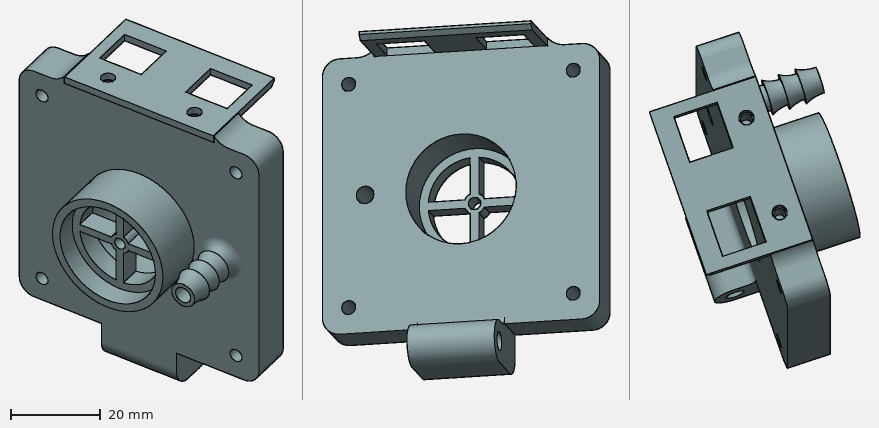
import cadquery as cq
import math


total_height = 75.4

plate_size = 63.5
plate_depth = 10.0
corner_radius = 4.0
corner_hole_diameter = 3.2
corner_hole_pitch = 51.4

cover_width = 39.4
cover_thickness = 1.8
cover_overhang = 15.0
cover_edge_chamfer = 1.1
seat_clearance = 0.19
seat_flank_radius = 5.0
window_width = 11.0
window_depth = 10.2
window_offset = 11.4
screw_offset = 11.5
screw_clearance_diameter = 3.3
screw_pilot_diameter = 2.65
screw_pilot_depth = 6.0

lug_width = 20.0
lug_height = total_height - plate_size - cover_thickness
lug_radius = 4.8
lug_round_centre_y = 15.0
lug_root_fillet = 1.95
lug_hole_diameter = 4.2

port_diameter = 29.3
port_length = 12.8
port_bore_diameter = 25.3
web_recess = 5.0
web_thickness = 5.05
web_opening_diameter = 21.3
spoke_width = 1.95
hub_diameter = 4.9
hub_hole_diameter = 2.8

nozzle_x = 21.95
nozzle_length = 15.85
nozzle_diameter = 6.0
nozzle_bore_diameter = 4.0
nozzle_root_fillet = 2.6
barb_count = 3
barb_diameter = 8.15
barb_mid_diameter = 6.5
barb_start = 3.5
barb_pitch = 3.9

half_plate = plate_size / 2
cover_top = half_plate + cover_thickness
lug_bottom = -half_plate - lug_height
seat_half_width = cover_width / 2 + seat_clearance
cover_depth = plate_depth + cover_overhang
screw_y = plate_depth / 2


def rod(diameter, front_y, rear_y, x=0, z=0):
    """A cylinder along Y between two Y positions."""
    return (
        cq.Workplane("XZ", origin=(x, front_y, z))
        .circle(diameter / 2)
        .extrude(front_y - rear_y)
    )


def plate():
    """Square plate with rounded corners."""
    return (
        cq.Workplane("XZ")
        .rect(plate_size, plate_size)
        .extrude(-plate_depth)
        .edges("|Y")
        .fillet(corner_radius)
    )


def seat_flanks():
    """Two ears that rise in a concave arc from the plate top to the sides of the cover seat."""
    drop = seat_flank_radius - cover_thickness
    run = math.sqrt(seat_flank_radius**2 - drop**2)
    half_angle = math.acos(drop / seat_flank_radius) / 2
    toe_x = seat_half_width + run
    arc_mid = (
        toe_x - seat_flank_radius * math.sin(half_angle),
        half_plate + seat_flank_radius * (1 - math.cos(half_angle)),
    )
    right_ear = (
        cq.Workplane("XZ")
        .moveTo(toe_x, half_plate)
        .threePointArc(arc_mid, (seat_half_width, cover_top))
        .lineTo(seat_half_width, half_plate)
        .close()
        .extrude(-plate_depth)
    )
    return right_ear.union(right_ear.mirror("YZ"))


def hinge_lug():
    """Lug that hangs below the plate and reaches behind it, with a cross hole."""
    lug_top = lug_bottom + 2 * lug_radius
    axis_z = lug_bottom + lug_radius
    diagonal = math.sqrt(0.5)
    fillet_mid = lug_root_fillet * (1 - diagonal)
    return (
        cq.Workplane("YZ")
        .moveTo(0, -half_plate)
        .lineTo(0, axis_z)
        .threePointArc(
            (lug_radius * (1 - diagonal), axis_z - lug_radius * diagonal),
            (lug_radius, lug_bottom),
        )
        .lineTo(lug_round_centre_y, lug_bottom)
        .threePointArc((lug_round_centre_y + lug_radius, axis_z), (lug_round_centre_y, lug_top))
        .lineTo(plate_depth + lug_root_fillet, lug_top)
        .threePointArc(
            (plate_depth + fillet_mid, lug_top + fillet_mid),
            (plate_depth, lug_top + lug_root_fillet),
        )
        .lineTo(0, lug_top + lug_root_fillet)
        .close()
        .moveTo(lug_round_centre_y, axis_z)
        .circle(lug_hole_diameter / 2)
        .extrude(lug_width / 2, both=True)
    )


def spoked_web():
    """Ring, hub and four spokes that fill the middle of the port bore."""
    web_front = web_recess - port_length
    web_rear = web_front + web_thickness
    ring = rod(port_bore_diameter, web_front, web_rear).cut(
        rod(web_opening_diameter, web_front, web_rear)
    )
    spoke_length = (web_opening_diameter + port_bore_diameter) / 2
    crossbar = (
        cq.Workplane("XZ", origin=(0, web_front, 0))
        .rect(spoke_length, spoke_width)
        .extrude(-web_thickness)
    )
    spokes = crossbar.union(crossbar.rotate((0, 0, 0), (0, 1, 0), 90))
    hub = rod(hub_diameter, web_front, web_rear)
    hub_hole = rod(hub_hole_diameter, web_front, web_rear)
    return ring.union(spokes).union(hub).cut(hub_hole)


def hose_nozzle():
    """Nozzle turned about its Y axis: a flared root, then three barbs with concave flanks."""
    radius = nozzle_diameter / 2
    flare = nozzle_root_fillet * (1 - math.sqrt(0.5))
    profile = (
        cq.Workplane("XY")
        .lineTo(radius + nozzle_root_fillet, 0)
        .threePointArc((radius + flare, -flare), (radius, -nozzle_root_fillet))
        .lineTo(radius, -barb_start)
    )
    barb_bases = [-barb_start - index * barb_pitch for index in range(barb_count)]
    barb_ends = barb_bases[1:] + [-nozzle_length]
    for base_y, end_y in zip(barb_bases, barb_ends):
        flank_mid = (barb_mid_diameter / 2, (base_y + end_y) / 2)
        profile = profile.lineTo(barb_diameter / 2, base_y).threePointArc(flank_mid, (radius, end_y))
    profile = profile.lineTo(0, -nozzle_length).close()
    return profile.revolve(360, (0, 0, 0), (0, 1, 0)).translate((nozzle_x, 0, 0))


def build_housing():
    body = plate().union(seat_flanks()).union(hinge_lug())
    body = body.union(rod(port_diameter, -port_length, 0))
    body = body.cut(rod(port_bore_diameter, -port_length, plate_depth))
    body = body.union(spoked_web()).union(hose_nozzle())
    body = body.cut(rod(nozzle_bore_diameter, -nozzle_length, plate_depth, x=nozzle_x))
    for x_side in (-1, 1):
        for z_side in (-1, 1):
            hole_x = x_side * corner_hole_pitch / 2
            hole_z = z_side * corner_hole_pitch / 2
            body = body.cut(rod(corner_hole_diameter, 0, plate_depth, hole_x, hole_z))
    pilots = (
        cq.Workplane("XY", origin=(0, screw_y, half_plate))
        .pushPoints([(-screw_offset, 0), (screw_offset, 0)])
        .circle(screw_pilot_diameter / 2)
        .extrude(-screw_pilot_depth)
    )
    return body.cut(pilots)


def build_cover():
    """Flat cover with two windows behind the plate and two screw holes over it."""
    cover = (
        cq.Workplane("XY", origin=(0, cover_depth / 2, half_plate))
        .rect(cover_width, cover_depth)
        .extrude(cover_thickness)
        .edges(">Y and <Z")
        .chamfer(cover_edge_chamfer)
    )
    windows = (
        cq.Workplane("XY", origin=(0, plate_depth + window_depth / 2, half_plate))
        .pushPoints([(-window_offset, 0), (window_offset, 0)])
        .rect(window_width, window_depth)
        .extrude(cover_thickness)
    )
    screw_holes = (
        cq.Workplane("XY", origin=(0, screw_y, half_plate))
        .pushPoints([(-screw_offset, 0), (screw_offset, 0)])
        .circle(screw_clearance_diameter / 2)
        .extrude(cover_thickness)
    )
    return cover.cut(windows).cut(screw_holes)


housing = build_housing()
cover = build_cover()

result = cq.Compound.makeCompound([housing.val(), cover.val()])